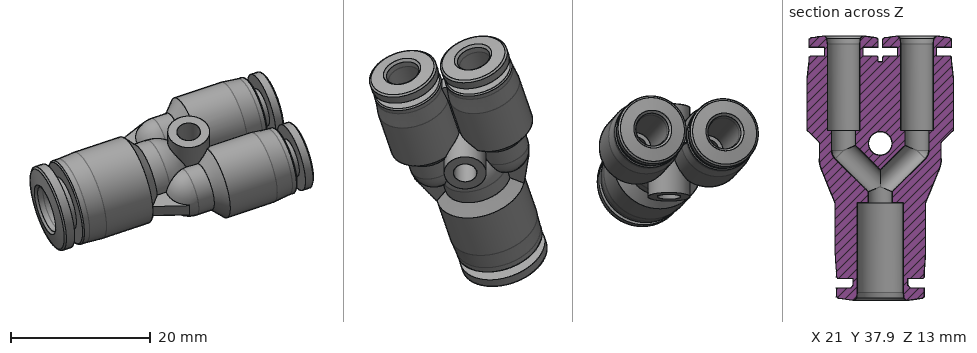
import cadquery as cq
import math


MAIN_RADIUS = 6.5
MAIN_RIM_RADIUS = 6.32
MAIN_NECK_RADIUS = 4.87
MAIN_NECK_START = 4.95
MAIN_SHOULDER_START = 7.03
MAIN_BODY_START = 8.5
MAIN_TAPER_START = 15.75
MAIN_RIM_START = 18.3
MAIN_BODY_END = 19.33
MAIN_COLLAR_START = 20.65
MAIN_COLLAR_EDGE = 21.95
MAIN_END = 22.5
MAIN_STEM_RADIUS = 3.95
MAIN_STEM_FLARE = 0.35
MAIN_BORE_RADIUS = 3.28

BRANCH_RADIUS = 5.25
BRANCH_OFFSET = BRANCH_RADIUS
BRANCH_RIM_RADIUS = 4.96
BRANCH_NECK_RADIUS = 3.5
BRANCH_NECK_START = -2.3
BRANCH_SHOULDER_START = 0.13
BRANCH_BODY_START = 1.85
BRANCH_TAPER_START = 9.2
BRANCH_RIM_START = 11.7
BRANCH_BODY_END = 12.53
BRANCH_COLLAR_START = 13.75
BRANCH_COLLAR_EDGE = 14.92
BRANCH_END = 15.4
BRANCH_STEM_RADIUS = 2.8
BRANCH_BORE_RADIUS = 2.3

RIM_CHAMFER = 0.2
COLLAR_EDGE_HEIGHT = 0.22
COLLAR_EDGE_INSET = 0.3
BORE_CHAMFER = 0.36
BORE_LEAD_IN = 0.1
BORE_LEAD_IN_LENGTH = 0.8

BOSS_RADIUS = 3.0
BOSS_HEIGHT = 2 * MAIN_RADIUS
HOLE_RADIUS = 1.67
WEB_THICKNESS = 2.0
CHANNEL_RADIUS = 1.7
CHANNEL_FORK_Y = -6.2
CHANNEL_ELBOW_Y = -1.0


def revolve_about_y(points):
    """Revolve a closed (radius, y) profile about the Y axis."""
    return cq.Workplane("XY").polyline(points).close().revolve(360, (0, 0, 0), (0, 1, 0))


def ball(radius, x, y):
    return cq.Workplane("XY").sphere(radius).translate((x, y, 0))


def channel(start, end):
    """Round flow passage between two (x, y) points, with ball ends so that bends join smoothly."""
    dx = end[0] - start[0]
    dy = end[1] - start[1]
    tube = cq.Solid.makeCylinder(
        CHANNEL_RADIUS, math.hypot(dx, dy), cq.Vector(*start, 0), cq.Vector(dx, dy, 0)
    )
    return cq.Workplane(tube).union(ball(CHANNEL_RADIUS, *start)).union(ball(CHANNEL_RADIUS, *end))


def main_port():
    """Large port, from the rounded neck to the release collar."""
    outline = [
        (0, -MAIN_NECK_START),
        (MAIN_NECK_RADIUS, -MAIN_NECK_START),
        (MAIN_NECK_RADIUS, -MAIN_SHOULDER_START),
        (MAIN_RADIUS, -MAIN_BODY_START),
        (MAIN_RADIUS, -MAIN_TAPER_START),
        (MAIN_RIM_RADIUS, -MAIN_RIM_START),
        (MAIN_RIM_RADIUS, -MAIN_BODY_END + RIM_CHAMFER),
        (MAIN_RIM_RADIUS - RIM_CHAMFER, -MAIN_BODY_END),
        (MAIN_STEM_RADIUS, -MAIN_BODY_END),
        (MAIN_STEM_RADIUS, -MAIN_COLLAR_START + MAIN_STEM_FLARE),
        (MAIN_STEM_RADIUS + MAIN_STEM_FLARE, -MAIN_COLLAR_START),
        (MAIN_RIM_RADIUS, -MAIN_COLLAR_START),
        (MAIN_RIM_RADIUS, -MAIN_COLLAR_EDGE),
        (MAIN_RIM_RADIUS - COLLAR_EDGE_INSET, -MAIN_COLLAR_EDGE - COLLAR_EDGE_HEIGHT),
        (MAIN_BORE_RADIUS + BORE_LEAD_IN + BORE_CHAMFER, -MAIN_END),
        (0, -MAIN_END),
    ]
    return revolve_about_y(outline).union(ball(MAIN_NECK_RADIUS, 0, -MAIN_NECK_START))


def branch_port(side):
    """Small port on the given side (-1 or 1), from the rounded neck to the release collar."""
    outline = [
        (0, BRANCH_NECK_START),
        (BRANCH_NECK_RADIUS, BRANCH_NECK_START),
        (BRANCH_NECK_RADIUS, BRANCH_SHOULDER_START),
        (BRANCH_RADIUS, BRANCH_BODY_START),
        (BRANCH_RADIUS, BRANCH_TAPER_START),
        (BRANCH_RIM_RADIUS, BRANCH_RIM_START),
        (BRANCH_RIM_RADIUS, BRANCH_BODY_END - RIM_CHAMFER),
        (BRANCH_RIM_RADIUS - RIM_CHAMFER, BRANCH_BODY_END),
        (BRANCH_STEM_RADIUS, BRANCH_BODY_END),
        (BRANCH_STEM_RADIUS, BRANCH_COLLAR_START),
        (BRANCH_RIM_RADIUS, BRANCH_COLLAR_START),
        (BRANCH_RIM_RADIUS, BRANCH_COLLAR_EDGE),
        (BRANCH_RIM_RADIUS - COLLAR_EDGE_INSET, BRANCH_COLLAR_EDGE + COLLAR_EDGE_HEIGHT),
        (BRANCH_BORE_RADIUS + BORE_LEAD_IN + BORE_CHAMFER, BRANCH_END),
        (0, BRANCH_END),
    ]
    port = revolve_about_y(outline).union(ball(BRANCH_NECK_RADIUS, 0, BRANCH_NECK_START))
    return port.translate((side * BRANCH_OFFSET, 0, 0))


def side_webs():
    """Flat web whose slanted edges run from the main shoulder, tangent to the branch neck ends."""
    toward_center_x = BRANCH_OFFSET - MAIN_RADIUS
    toward_center_y = BRANCH_NECK_START + MAIN_BODY_START
    distance = math.hypot(toward_center_x, toward_center_y)
    tangent_length = math.sqrt(distance**2 - BRANCH_NECK_RADIUS**2)
    tangent_angle = math.atan2(toward_center_y, toward_center_x) - math.asin(BRANCH_NECK_RADIUS / distance)
    tangent_x = MAIN_RADIUS + tangent_length * math.cos(tangent_angle)
    tangent_y = -MAIN_BODY_START + tangent_length * math.sin(tangent_angle)
    outline = [
        (-MAIN_RADIUS, -MAIN_BODY_START),
        (MAIN_RADIUS, -MAIN_BODY_START),
        (tangent_x, tangent_y),
        (BRANCH_OFFSET, BRANCH_NECK_START),
        (-BRANCH_OFFSET, BRANCH_NECK_START),
        (-tangent_x, tangent_y),
    ]
    return cq.Workplane("XY").polyline(outline).close().extrude(WEB_THICKNESS / 2, both=True)


def middle_web():
    """Flat web that fills the gap between the two small ports."""
    length = BRANCH_RIM_START - BRANCH_NECK_START
    web = cq.Workplane("XY").box(2 * BRANCH_OFFSET, length, WEB_THICKNESS)
    return web.translate((0, BRANCH_NECK_START + length / 2, 0))


def z_cylinder(radius):
    return cq.Workplane("XY").circle(radius).extrude(BOSS_HEIGHT / 2, both=True)


def bore(radius, floor_y, mouth_y):
    """Tube bore on the Y axis with a tapered lead-in and a chamfered mouth."""
    inward = math.copysign(1, floor_y - mouth_y)
    lead_in_radius = radius + BORE_LEAD_IN
    chamfer_y = mouth_y + inward * BORE_CHAMFER
    return revolve_about_y([
        (0, floor_y),
        (radius, floor_y),
        (radius, chamfer_y + inward * BORE_LEAD_IN_LENGTH),
        (lead_in_radius, chamfer_y),
        (lead_in_radius + BORE_CHAMFER, mouth_y),
        (0, mouth_y),
    ])


body = main_port().union(side_webs()).union(middle_web()).union(z_cylinder(BOSS_RADIUS))
for side in (-1, 1):
    body = body.union(branch_port(side))

fork = (0, CHANNEL_FORK_Y)
body = body.cut(bore(MAIN_BORE_RADIUS, -MAIN_BODY_START, -MAIN_END))
body = body.cut(channel((0, -MAIN_BODY_START), fork))
for side in (-1, 1):
    branch_x = side * BRANCH_OFFSET
    elbow = (branch_x, CHANNEL_ELBOW_Y)
    body = body.cut(channel(fork, elbow))
    body = body.cut(channel(elbow, (branch_x, BRANCH_BODY_START)))
    body = body.cut(bore(BRANCH_BORE_RADIUS, BRANCH_BODY_START, BRANCH_END).translate((branch_x, 0, 0)))

result = body.cut(z_cylinder(HOLE_RADIUS))